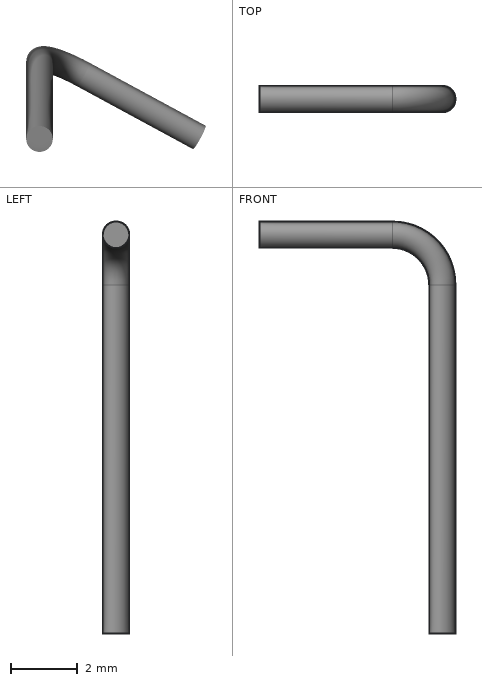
import cadquery as cq

wire_diameter = 0.8
bend_radius = 1.5
overall_length = 5.9
overall_height = 12.4

wire_radius = wire_diameter / 2
horizontal_leg = overall_length - wire_radius - bend_radius
upright_leg = overall_height - wire_radius - bend_radius


def make_upright_leg():
    """Straight leg rising from the origin along Z."""
    return cq.Workplane("XY").circle(wire_radius).extrude(upright_leg)


def make_bend():
    """Quarter turn from +Z towards -X, about an axis parallel to Y."""
    quarter_turn = 90
    return (
        cq.Workplane("XY", origin=(0, 0, upright_leg))
        .circle(wire_radius)
        .revolve(quarter_turn, (-bend_radius, 0), (-bend_radius, -1))
    )


def make_horizontal_leg():
    """Straight leg running from the end of the bend along -X."""
    bend_end = (-bend_radius, 0, upright_leg + bend_radius)
    return cq.Workplane("YZ", origin=bend_end).circle(wire_radius).extrude(-horizontal_leg)


result = make_upright_leg().union(make_bend()).union(make_horizontal_leg())